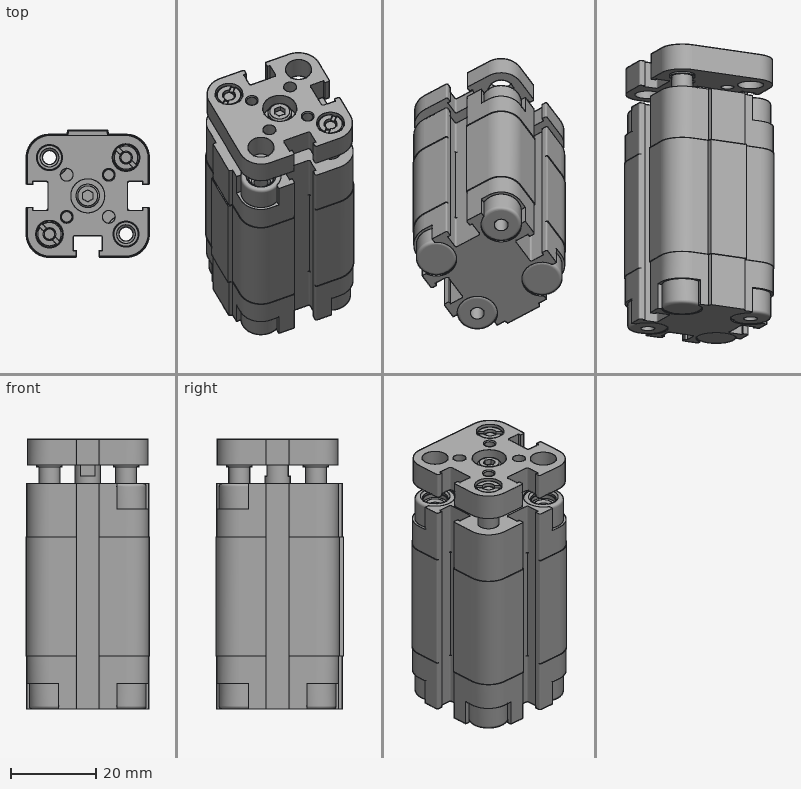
import cadquery as cq
import math

housing_height = 53.1
total_height = 63.5
plate_thickness = 6.1
plate_bottom = total_height - plate_thickness
barrel_bottom = 12.5
barrel_top = 40.5

corner_centre = 9.0
plate_corner_centre = 8.9
barrel_half = 14.5
cap_half = 14.35
plate_half = 14.2

slot_floor = 9.4
slot_lip = 12.9
slot_inner_half = 3.4
slot_mouth_half = 2.7
slot_floor_round = 0.4
end_lip_round = 0.4
barrel_lip_round = 0.25

cut_margin = 1.0

barrel_rail_top = 15.5
barrel_rail_half = 4.95
cap_rail_top = 15.2
cap_rail_half = 4.7
rail_side_lean = 0.25

pocket_start = 6.85
pocket_depth = 6.0
boss_diameter = 9.5
boss_edge_round = 0.75
boss_rim_diameter = 7.0
boss_bore_diameter = 6.0
boss_bore_depth = 1.0
boss_seat_diameter = 5.7
boss_seat_depth = 2.0
screw_hole_diameter = 3.24
screw_hole_mouth = 4.4

piston_rod_diameter = 6.0
rod_flat_distance = 5.0
rod_flat_bottom = 54.8
rod_tip_diameter = 5.5
rod_tip_chamfer = 0.4
rod_tip_depth = 1.1
hex_socket_flats = 2.46
hex_socket_depth = 1.3

guide_rod_diameter = 5.0
guide_collar_diameter = 6.0
guide_collar_height = 0.4
guide_tip_diameter = 6.1
guide_tip_chamfer = 0.3
guide_tip_depth = 0.4
guide_slot_width = 1.0
guide_recess_diameter = 3.0
guide_recess_depth = 0.6
guide_point_diameter = 2.46
rod_insertion = 30.0

centre_hole_diameter = 8.0
centre_hole_depth = 4.0
access_hole_diameter = 6.1
guide_hole_diameter = 6.5
guide_moat_depth = 1.5
small_hole_offset = 4.95
small_hole_diameter = 3.0
thread_hole_diameter = 2.46

rod_corners = [(-corner_centre, -corner_centre), (corner_centre, corner_centre)]
screw_corners = [(-corner_centre, corner_centre), (corner_centre, -corner_centre)]
slot_turns = [90, 180, 270]


def cylinder(centre, diameter, bottom, top):
    return cq.Workplane("XY", origin=(*centre, bottom)).circle(diameter / 2).extrude(top - bottom)


def chamfer_cone(centre, lower_diameter, upper_diameter, bottom, top):
    return (
        cq.Workplane("XY", origin=(*centre, bottom)).circle(lower_diameter / 2)
        .workplane(offset=top - bottom).circle(upper_diameter / 2).loft()
    )


def slot_cutter(half_width, lip_round, floor_round, bottom, top):
    """T-slot opening towards +Y, its lips rounded where they meet the outer face."""
    mouth = slot_mouth_half
    lip_start = half_width - lip_round
    arc_step = lip_round * math.sqrt(0.5)
    outline = cq.Workplane("XY", origin=(0, 0, bottom)).moveTo(0, slot_floor)
    if floor_round:
        round_step = floor_round * (1 - math.sqrt(0.5))
        outline = (
            outline.lineTo(slot_inner_half - floor_round, slot_floor)
            .threePointArc(
                (slot_inner_half - round_step, slot_floor + round_step),
                (slot_inner_half, slot_floor + floor_round),
            )
        )
    else:
        outline = outline.lineTo(slot_inner_half, slot_floor)
    return (
        outline.lineTo(slot_inner_half, slot_lip)
        .lineTo(mouth, slot_lip)
        .lineTo(mouth, lip_start)
        .threePointArc(
            (mouth + lip_round - arc_step, lip_start + arc_step),
            (mouth + lip_round, half_width),
        )
        .lineTo(mouth + lip_round, half_width + cut_margin)
        .lineTo(0, half_width + cut_margin)
        .mirrorY()
        .extrude(top - bottom)
    )


def slotted_block(half_width, round_centre, lip_round, floor_round, bottom, top):
    """Square block with rounded corners and a T-slot in three of its sides."""
    block = (
        cq.Workplane("XY", origin=(0, 0, bottom))
        .rect(2 * half_width, 2 * half_width)
        .extrude(top - bottom)
        .edges("|Z").fillet(half_width - round_centre)
    )
    cutter = slot_cutter(half_width, lip_round, floor_round, bottom, top)
    for turn in slot_turns:
        block = block.cut(cutter.rotate((0, 0, 0), (0, 0, 1), turn))
    return block


def rail(half_base, rail_top, bottom, top):
    return (
        cq.Workplane("XY", origin=(0, 0, bottom))
        .moveTo(-half_base, corner_centre)
        .lineTo(-half_base, cap_half)
        .lineTo(-half_base + rail_side_lean, rail_top)
        .lineTo(half_base - rail_side_lean, rail_top)
        .lineTo(half_base, cap_half)
        .lineTo(half_base, corner_centre)
        .close()
        .extrude(top - bottom)
    )


def boss_pocket(centre, bottom, top, rounded_edge):
    """Corner relief around a round boss, whose edge round runs all the way round as a groove."""
    side = barrel_half - pocket_start + cut_margin
    middle = [math.copysign(pocket_start + side / 2, c) for c in centre]
    boss = cylinder(centre, boss_diameter, bottom, top).edges(rounded_edge).fillet(boss_edge_round)
    relief = cq.Workplane("XY", origin=(*middle, bottom)).rect(side, side).extrude(top - bottom)
    groove = cylinder(centre, boss_diameter, bottom, top)
    return relief.union(groove).cut(boss)


def screw_bore(centre):
    """Stepped bore for a mounting screw, with a bevelled rim and a through hole."""
    step_floor = housing_height - boss_bore_depth
    seat_floor = housing_height - boss_seat_depth
    rim_height = (boss_rim_diameter - boss_bore_diameter) / 2
    mouth_height = (screw_hole_mouth - screw_hole_diameter) / 2
    bore = cylinder(centre, screw_hole_diameter, 0, housing_height)
    bore = bore.union(chamfer_cone(
        centre, screw_hole_diameter, screw_hole_mouth, seat_floor - mouth_height, seat_floor))
    bore = bore.union(cylinder(centre, boss_seat_diameter, seat_floor, housing_height))
    bore = bore.union(cylinder(centre, boss_bore_diameter, step_floor, housing_height))
    return bore.union(chamfer_cone(
        centre, boss_bore_diameter, boss_rim_diameter, housing_height - rim_height, housing_height))


def make_housing():
    body = slotted_block(
        barrel_half, corner_centre, barrel_lip_round, 0, barrel_bottom, barrel_top)
    body = body.union(rail(barrel_rail_half, barrel_rail_top, barrel_bottom, barrel_top))
    for bottom, top in [(0, barrel_bottom), (barrel_top, housing_height)]:
        body = body.union(slotted_block(
            cap_half, corner_centre, end_lip_round, slot_floor_round, bottom, top))
        body = body.union(rail(cap_rail_half, cap_rail_top, bottom, top))
    for centre in screw_corners:
        body = body.cut(boss_pocket(
            centre, housing_height - pocket_depth, housing_height, ">Z"))
        body = body.cut(screw_bore(centre))
    for centre in screw_corners + rod_corners:
        body = body.cut(boss_pocket(centre, 0, pocket_depth, "<Z"))
    bore_bottom = housing_height - rod_insertion
    body = body.cut(cylinder((0, 0), piston_rod_diameter, bore_bottom, housing_height))
    for centre in rod_corners:
        body = body.cut(cylinder(centre, guide_rod_diameter, bore_bottom, housing_height))
    return body


def piston_rod():
    tip_top = total_height - rod_tip_depth
    rod = cylinder((0, 0), piston_rod_diameter, housing_height - rod_insertion, plate_bottom)
    flats = (
        cq.Workplane("XY", origin=(0, 0, rod_flat_bottom))
        .rect(piston_rod_diameter, rod_flat_distance)
        .extrude(plate_bottom - rod_flat_bottom)
    )
    rod = rod.intersect(cylinder((0, 0), piston_rod_diameter, 0, rod_flat_bottom).union(flats))
    tip = cylinder((0, 0), rod_tip_diameter, plate_bottom, tip_top)
    tip = tip.faces(">Z").chamfer(rod_tip_chamfer)
    socket = (
        cq.Workplane("XY", origin=(0, 0, tip_top))
        .polygon(6, hex_socket_flats, circumscribed=True)
        .extrude(-hex_socket_depth)
    )
    return rod.union(tip.cut(socket))


def guide_rod(centre):
    tip_top = total_height - guide_tip_depth
    collar_bottom = plate_bottom - guide_collar_height
    rod = cylinder(centre, guide_rod_diameter, housing_height - rod_insertion, plate_bottom)
    rod = rod.union(cylinder(centre, guide_collar_diameter, collar_bottom, plate_bottom))
    tip = cylinder(centre, guide_tip_diameter, plate_bottom, tip_top)
    tip = tip.faces(">Z").chamfer(guide_tip_chamfer)
    recess_bottom = tip_top - guide_recess_depth
    driver_slot = (
        cq.Workplane("XY", origin=(*centre, recess_bottom))
        .transformed(rotate=(0, 0, -45))
        .rect(2 * guide_tip_diameter, guide_slot_width)
        .extrude(guide_recess_depth)
    )
    point_height = (guide_recess_diameter - guide_point_diameter) / 2
    point_bottom = recess_bottom - point_height
    recess = cylinder(centre, guide_recess_diameter, point_bottom, tip_top)
    point = chamfer_cone(
        centre, guide_recess_diameter, guide_point_diameter, point_bottom, recess_bottom)
    return rod.union(tip.cut(driver_slot).cut(recess.cut(point)))


def end_plate():
    plate = slotted_block(
        plate_half, plate_corner_centre, end_lip_round, slot_floor_round, plate_bottom, total_height)
    plate = plate.cut(cylinder(
        (0, 0), centre_hole_diameter, total_height - centre_hole_depth, total_height))
    for centre in screw_corners:
        plate = plate.cut(cylinder(centre, access_hole_diameter, plate_bottom, total_height))
    for centre in rod_corners:
        plate = plate.cut(cylinder(
            centre, guide_hole_diameter, total_height - guide_moat_depth, total_height))
    thread_chamfer = (small_hole_diameter - thread_hole_diameter) / 2
    for x_sign in (-1, 1):
        for y_sign in (-1, 1):
            centre = (x_sign * small_hole_offset, y_sign * small_hole_offset)
            if x_sign != y_sign:
                plate = plate.cut(cylinder(centre, small_hole_diameter, plate_bottom, total_height))
                continue
            plate = plate.cut(cylinder(centre, thread_hole_diameter, plate_bottom, total_height))
            plate = plate.cut(chamfer_cone(
                centre, thread_hole_diameter, small_hole_diameter,
                total_height - thread_chamfer, total_height))
    return plate


def make_piston():
    body = end_plate()
    body = body.union(piston_rod())
    for centre in rod_corners:
        body = body.union(guide_rod(centre))
    return body


housing = make_housing()
piston = make_piston()
result = cq.Compound.makeCompound([housing.solids().val(), piston.solids().val()])